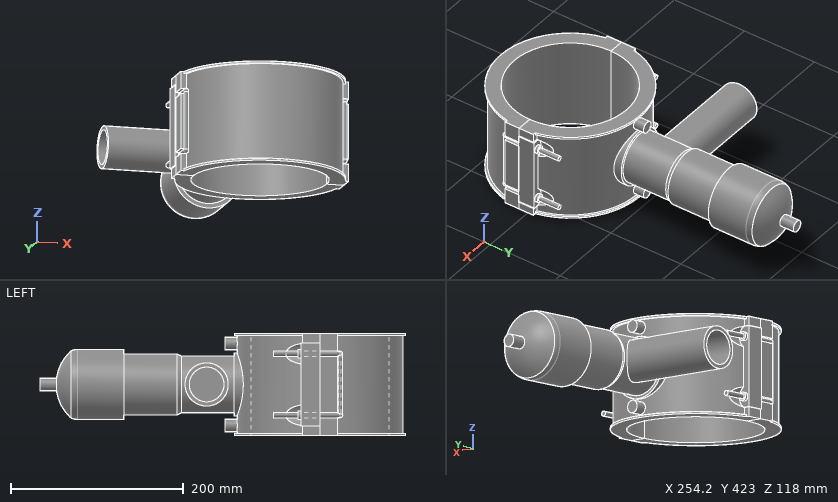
import cadquery as cq
import math


overall_length = 423.0

clamp_height = 118.0
bore_radius = 80.0
ring_radius = 96.0
rim_radius = 99.0
rim_height = 2.5

lug_half_span = 100.5
lug_depth = 20.5
pad_half_span = 102.0
pad_depth = 22.0
pad_height = 95.5

leg_radius = 6.0 / 2
leg_x = 95.0
leg_z = 35.5
leg_tip_y = 53.5
bridge_gap = 0.5
bridge_radius = 5.0 / 2
bridge_y = -(lug_depth + bridge_gap + bridge_radius)
nut_radius = 10.0 / 2
nut_height = 4.0

pocket_radius = 15.0
pocket_x = 102.5
pocket_end_y = 50.7

base_start_y = 76.0
base_radius = 73.0 / 2
base_end_y = 99.5
neck_radius = 66.0 / 2
neck_end_y = 160.3
barrel_radius = 70.5 / 2
barrel_start_y = 165.5
barrel_end_y = 226.5
cap_radius = 81.0 / 2
cap_side_end_y = 280.5
knuckle_drop = 1.5
knuckle_end_y = 288.0
dome_top_y = 305.5
stem_radius = 15.0 / 2
stem_end_y = overall_length - rim_radius

pipe_radius = 50.0 / 2
pipe_bore_radius = 40.0 / 2
pipe_y = 131.0
pipe_end_x = -152.2

stud_radius = 15.0 / 2
stud_z = 47.5
stud_start_y = (bore_radius + ring_radius) / 2
stud_end_y = 110.0

SIDES = (-1, 1)


def z_cylinder(radius, height):
    """Cylinder on the clamp axis, centred on Z = 0."""
    return cq.Workplane("XY").cylinder(height, radius)


def y_cylinder(radius, x, z, start_y, end_y):
    """Cylinder parallel to Y between two Y positions."""
    axis = cq.Vector(0, 1, 0)
    solid = cq.Solid.makeCylinder(radius, end_y - start_y, cq.Vector(x, start_y, z), axis)
    return cq.Workplane(obj=solid)


def box(x_range, y_range, z_range):
    """Box between two corners, given as ranges along each axis."""
    sizes = [high - low for low, high in (x_range, y_range, z_range)]
    centre = [(high + low) / 2 for low, high in (x_range, y_range, z_range)]
    return cq.Workplane("XY").box(*sizes).translate(tuple(centre))


def clamp_half(direction):
    """Half ring with end rims and lugs, on the +Y or -Y side of the split."""
    ring = z_cylinder(ring_radius, clamp_height)
    rim = z_cylinder(rim_radius, rim_height)
    rim_z = (clamp_height - rim_height) / 2
    for side in SIDES:
        ring = ring.union(rim.translate((0, 0, side * rim_z)))

    reach = 2 * rim_radius
    half_space = sorted((0, direction * reach))
    ring = ring.intersect(box((-reach, reach), half_space, (-reach, reach)))

    lug_y = sorted((0, direction * lug_depth))
    half_height = clamp_height / 2
    lugs = box((-lug_half_span, lug_half_span), lug_y, (-half_height, half_height))
    return ring.union(lugs)


def valve():
    """Solid of revolution from the base to the stem, starting inside the ring wall."""
    knuckle_radius = (knuckle_drop**2 + (knuckle_end_y - cap_side_end_y) ** 2) / (2 * knuckle_drop)
    knuckle_angle = math.asin((knuckle_end_y - cap_side_end_y) / knuckle_radius) / 2
    knuckle_mid = (
        cap_radius - knuckle_radius * (1 - math.cos(knuckle_angle)),
        cap_side_end_y + knuckle_radius * math.sin(knuckle_angle),
    )

    dome_base_radius = cap_radius - knuckle_drop
    dome_rise = dome_top_y - knuckle_end_y
    dome_radius = (dome_base_radius**2 + dome_rise**2) / (2 * dome_rise)
    dome_centre_y = dome_top_y - dome_radius

    def dome_y(radius):
        return dome_centre_y + math.sqrt(dome_radius**2 - radius**2)

    dome_mid_radius = (dome_base_radius + stem_radius) / 2
    profile = (
        cq.Workplane("XY")
        .moveTo(0, base_start_y)
        .lineTo(0, stem_end_y)
        .lineTo(stem_radius, stem_end_y)
        .lineTo(stem_radius, dome_y(stem_radius))
        .threePointArc((dome_mid_radius, dome_y(dome_mid_radius)), (dome_base_radius, knuckle_end_y))
        .threePointArc(knuckle_mid, (cap_radius, cap_side_end_y))
        .lineTo(cap_radius, barrel_end_y)
        .lineTo(barrel_radius, barrel_end_y)
        .lineTo(barrel_radius, barrel_start_y)
        .lineTo(neck_radius, neck_end_y)
        .lineTo(neck_radius, base_end_y)
        .lineTo(base_radius, base_end_y)
        .lineTo(base_radius, base_start_y)
        .close()
    )
    return profile.revolve(360, (0, 0, 0), (0, 1, 0))


def side_pipe(radius, inner_x):
    """Cylinder along X from the open pipe end to a given X position."""
    return (
        cq.Workplane("YZ", origin=(pipe_end_x, pipe_y, 0))
        .circle(radius)
        .extrude(inner_x - pipe_end_x)
    )


def u_bolt(side):
    """Two legs with nuts, joined at round corners by the bridge across the front lug."""
    x = side * leg_x
    bolt = (
        cq.Workplane("XY", origin=(x, bridge_y, -leg_z)).circle(bridge_radius).extrude(2 * leg_z)
    )
    for level in SIDES:
        z = level * leg_z
        corner = cq.Workplane("XY").sphere(leg_radius).translate((x, bridge_y, z))
        leg = y_cylinder(leg_radius, x, z, bridge_y, leg_tip_y)
        nut = y_cylinder(nut_radius, x, z, pad_depth, pad_depth + nut_height)
        bolt = bolt.union(leg).union(corner).union(nut)
    return bolt


def make_rear_clamp():
    """Rear half with its pads, bolt holes and nut pockets, the valve and the side pipe."""
    body = clamp_half(1)
    pad_z = (-pad_height / 2, pad_height / 2)
    body = body.union(box((-pad_half_span, pad_half_span), (0, pad_depth), pad_z))
    body = body.union(valve()).union(side_pipe(pipe_radius, 0))
    for level in SIDES:
        body = body.union(y_cylinder(stud_radius, 0, level * stud_z, stud_start_y, stud_end_y))

    body = body.cut(z_cylinder(bore_radius, clamp_height))
    body = body.cut(side_pipe(pipe_bore_radius, -neck_radius))
    for side in SIDES:
        for level in SIDES:
            z = level * leg_z
            body = body.cut(y_cylinder(leg_radius, side * leg_x, z, 0, pad_depth))
            body = body.cut(y_cylinder(pocket_radius, side * pocket_x, z, pad_depth, pocket_end_y))
    return body


def make_front_clamp():
    """Front half with open bolt slots in its lugs and the U-bolts fixed in them."""
    body = clamp_half(-1).cut(z_cylinder(bore_radius, clamp_height))
    for side in SIDES:
        slot_x = sorted((side * leg_x, side * lug_half_span))
        for level in SIDES:
            slot_z = (level * leg_z - leg_radius, level * leg_z + leg_radius)
            body = body.cut(box(slot_x, (-lug_depth, 0), slot_z))
        body = body.union(u_bolt(side))
    return body


rear_clamp = make_rear_clamp()
front_clamp = make_front_clamp()

result = cq.Compound.makeCompound([rear_clamp.solids().val(), front_clamp.solids().val()])